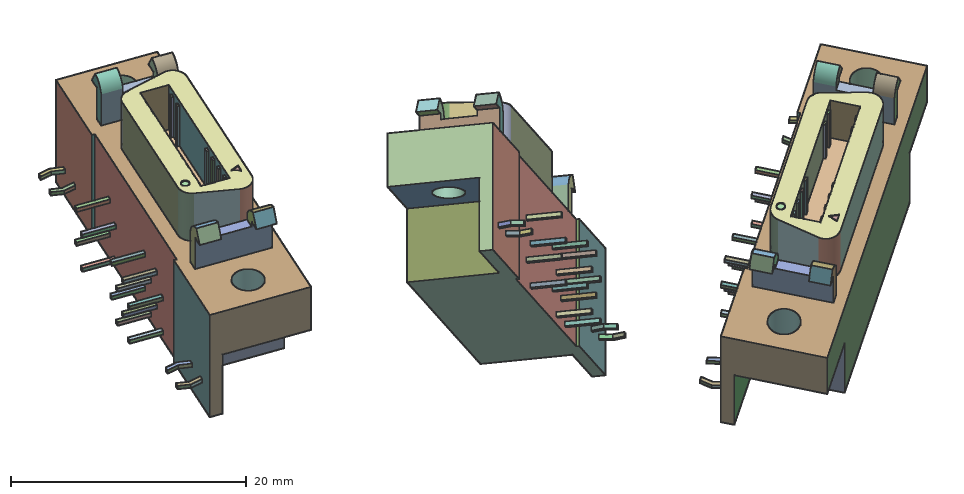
import cadquery as cq
import math


length = 33.27
body_depth = 9.35
body_height = 11.45
center_block_width = 21.7
ear_wall = 1.2
ear_underside = 6.62
recess_width = 17.7
recess_depth = 0.25
hole_diameter = 2.83
hole_x = 13.7
hole_y = 4.8

total_height = 16.77
shell_front = 1.6
shell_back = 8.0
shell_back_half_width = 8.7
shell_side_angle = 15.0
shell_corner_radius = 1.3

slot_length = 13.17
slot_front = 3.5
slot_back = 6.12
slot_depth = 5.0

contact_span = 11.45
contact_positions = 10
pitch = contact_span / (contact_positions - 1)
pin_size = 0.4
pin_reach = 2.83
pin_row_bottom = 0.9
pin_row_pitch = 1.9
pin_columns_lower = (-3.5, 2.5, 4.5)
pin_columns_upper = (-4.5, 1.5, 3.5)
contact_protrusion = 0.2
contact_drop = 0.5

mark_x = contact_span / 2
mark_size = 0.73
mark_depth = 0.1
triangle_back = 7.42
triangle_height = 0.8
dot_y = 2.4

latch_inner_x = 9.65
latch_thickness = 1.0
latch_tip_x = 11.68
latch_front = 1.2
latch_back = 8.32
hook_rise = 1.3
hook_arc_bulge = 0.3
hook_base = 14.95
latch_notch_front = 3.2
latch_notch_back = 6.42
latch_notch_floor = 14.45

clip_half_spacing = 1.1
clip_bulge = 0.25
clip_bend_reach = 1.15
clip_reach = 2.25
clip_z = pin_row_bottom + pin_row_pitch


def box(x0, x1, y0, y1, z0, z1):
    """Axis-aligned box between two opposite corners."""
    return cq.Workplane("XY").box(x1 - x0, y1 - y0, z1 - z0, centered=False).translate((x0, y0, z0))


def make_body():
    half = length / 2
    block = center_block_width / 2
    relief = recess_width / 2
    body = box(-half, half, 0, body_depth, ear_underside, body_height)
    body = body.union(box(-half, half, 0, ear_wall, 0, ear_underside))
    body = body.union(box(-block, block, 0, body_depth, 0, ear_underside))
    body = body.cut(box(-relief, relief, 0, recess_depth, 0, body_height))
    holes = (
        cq.Workplane("XY", origin=(0, 0, ear_underside))
        .pushPoints([(-hole_x, hole_y), (hole_x, hole_y)])
        .circle(hole_diameter / 2)
        .extrude(body_height - ear_underside)
    )
    return body.cut(holes)


def make_shell():
    side_run = (shell_back - shell_front) * math.tan(math.radians(shell_side_angle))
    front_half_width = shell_back_half_width - side_run
    return (
        cq.Workplane("XY", origin=(0, 0, body_height))
        .polyline([
            (-front_half_width, shell_front),
            (front_half_width, shell_front),
            (shell_back_half_width, shell_back),
            (-shell_back_half_width, shell_back),
        ])
        .close()
        .extrude(total_height - body_height)
        .edges("|Z")
        .fillet(shell_corner_radius)
    )


def make_slot():
    half = slot_length / 2
    return box(-half, half, slot_front, slot_back, total_height - slot_depth, total_height)


def make_contacts():
    """Contact strips standing out from both long walls of the slot."""
    bottom = total_height - slot_depth
    top = total_height - contact_drop
    contacts = cq.Workplane("XY")
    for column in pin_columns_lower + pin_columns_upper:
        x0 = column * pitch - pin_size / 2
        x1 = x0 + pin_size
        contacts = contacts.union(box(x0, x1, slot_front, slot_front + contact_protrusion, bottom, top))
        contacts = contacts.union(box(x0, x1, slot_back - contact_protrusion, slot_back, bottom, top))
    return contacts


def make_marks():
    """Triangle at the back and dot at the front, above the last contact."""
    face = cq.Workplane("XY", origin=(0, 0, total_height))
    half = mark_size / 2
    triangle = (
        face.polyline([
            (mark_x - half, triangle_back),
            (mark_x + half, triangle_back),
            (mark_x, triangle_back - triangle_height),
        ])
        .close()
        .extrude(-mark_depth)
    )
    dot = face.center(mark_x, dot_y).circle(half).extrude(-mark_depth)
    return triangle.union(dot)


def make_latch():
    """Latch on the +X side: a plate with a notched, outward-hooked top."""
    outer_x = latch_inner_x + latch_thickness
    hook_top = hook_base + hook_rise
    crest_x = latch_inner_x + hook_rise
    bulge = hook_arc_bulge * math.sqrt(0.5)
    arc_middle = (latch_inner_x + hook_rise / 2 - bulge, hook_base + hook_rise / 2 + bulge)
    plate = (
        cq.Workplane("XZ", origin=(0, latch_front, 0))
        .moveTo(latch_inner_x, body_height)
        .lineTo(latch_inner_x, hook_base)
        .threePointArc(arc_middle, (crest_x, hook_top))
        .lineTo(latch_tip_x, hook_base)
        .lineTo(outer_x, hook_base)
        .lineTo(outer_x, body_height)
        .close()
        .extrude(latch_front - latch_back)
    )
    notch = box(latch_inner_x, latch_tip_x, latch_notch_front, latch_notch_back, latch_notch_floor, hook_top)
    return plate.cut(notch)


def make_pins():
    pins = cq.Workplane("XY")
    rows = (pin_columns_lower, pin_columns_upper, pin_columns_lower, pin_columns_upper)
    for row, columns in enumerate(rows):
        z0 = pin_row_bottom + row * pin_row_pitch - pin_size / 2
        for column in columns:
            x0 = column * pitch - pin_size / 2
            pins = pins.union(box(x0, x0 + pin_size, -pin_reach, recess_depth, z0, z0 + pin_size))
    return pins


def make_clip(center_x, side):
    """One bent prong, bulging away from the clip centre toward the given side."""
    inner = center_x + side * (clip_half_spacing - pin_size / 2)
    outer = center_x + side * (clip_half_spacing + pin_size / 2)
    bulge = side * clip_bulge
    return (
        cq.Workplane("XY", origin=(0, 0, clip_z - pin_size / 2))
        .polyline([
            (inner, 0),
            (inner + bulge, -clip_bend_reach),
            (inner, -clip_reach),
            (outer, -clip_reach),
            (outer + bulge, -clip_bend_reach),
            (outer, 0),
        ])
        .close()
        .extrude(pin_size)
    )


latch = make_latch()
result = make_body().union(make_shell()).cut(make_slot()).union(make_contacts()).cut(make_marks())
result = result.union(latch).union(latch.mirror("YZ")).union(make_pins())
for clip_center in (-hole_x, hole_x):
    for clip_side in (-1, 1):
        result = result.union(make_clip(clip_center, clip_side))